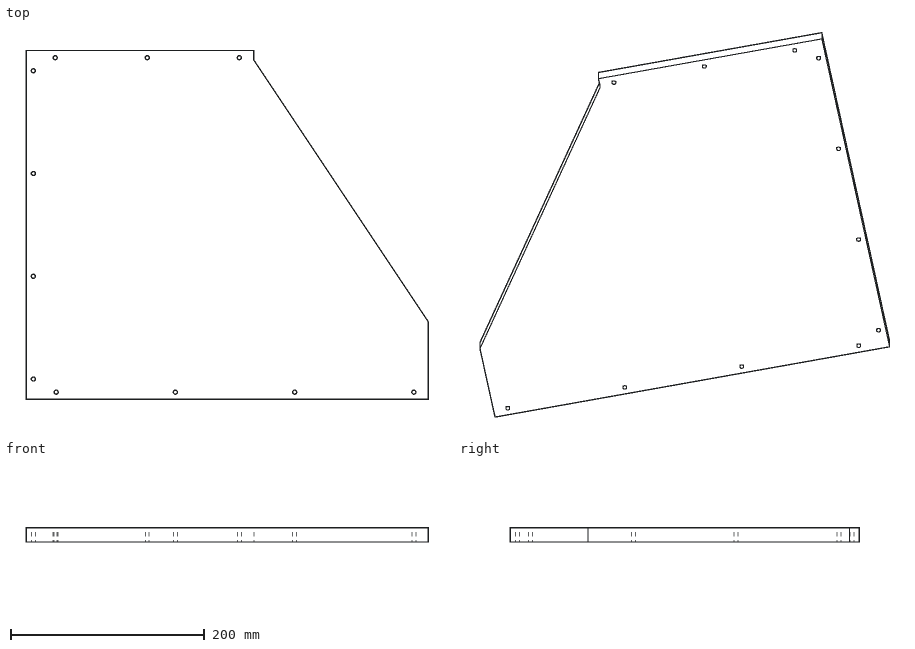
import cadquery as cq

LENGTH = 415.0
WIDTH = 360.0
THICKNESS = 15.0
BACK_EDGE_LENGTH = 235.0
BACK_STEP = 10.0
RIGHT_EDGE_LENGTH = 80.0

HOLE_DIAMETER = 4.0
EDGE_OFFSET = THICKNESS / 2
LEFT_ROW_INSET = 21.0
FRONT_ROW_START = 31.0
BACK_ROW_START = 30.0
ROW_END_INSET = 15.0
LEFT_HOLES = 4
FRONT_HOLES = 4
BACK_HOLES = 3

LEFT = -LENGTH / 2
RIGHT = LENGTH / 2
FRONT = -WIDTH / 2
BACK = WIDTH / 2
BACK_EDGE_END = LEFT + BACK_EDGE_LENGTH


def evenly_spaced(first, last, count):
    """Return count positions from first to last, both included."""
    pitch = (last - first) / (count - 1)
    return [first + i * pitch for i in range(count)]


def make_panel():
    """Flat panel with one corner cut off by a sloping edge."""
    outline = [
        (LEFT, FRONT),
        (RIGHT, FRONT),
        (RIGHT, FRONT + RIGHT_EDGE_LENGTH),
        (BACK_EDGE_END, BACK - BACK_STEP),
        (BACK_EDGE_END, BACK),
        (LEFT, BACK),
    ]
    return cq.Workplane("XY").polyline(outline).close().extrude(THICKNESS)


def hole_centres():
    """Centres of the left, front and back rows of screw holes."""
    left_ys = evenly_spaced(FRONT + LEFT_ROW_INSET, BACK - LEFT_ROW_INSET, LEFT_HOLES)
    front_xs = evenly_spaced(LEFT + FRONT_ROW_START, RIGHT - ROW_END_INSET, FRONT_HOLES)
    back_xs = evenly_spaced(LEFT + BACK_ROW_START, BACK_EDGE_END - ROW_END_INSET, BACK_HOLES)

    left_row = [(LEFT + EDGE_OFFSET, y) for y in left_ys]
    front_row = [(x, FRONT + EDGE_OFFSET) for x in front_xs]
    back_row = [(x, BACK - EDGE_OFFSET) for x in back_xs]
    return left_row + front_row + back_row


def make_holes():
    """Cylinders that cut the screw holes right through the panel."""
    return (
        cq.Workplane("XY")
        .pushPoints(hole_centres())
        .circle(HOLE_DIAMETER / 2)
        .extrude(THICKNESS)
    )


result = make_panel().cut(make_holes())